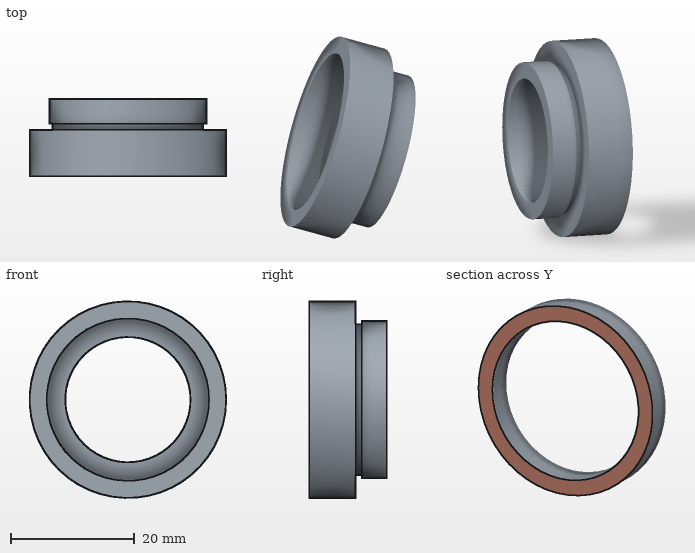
import cadquery as cq

flange_diameter = 31.75
total_length = 12.5

spigot_diameter = 25.4
spigot_length = 4.0
groove_diameter = 24.38
groove_width = 1.02
flange_length = total_length - spigot_length - groove_width

bore_diameter = 20.15
recess_diameter = 26.2
recess_depth = 5.5
relief_diameter = 26.5
relief_width = 1.02


def cylinder(diameter, start, length):
    """Solid cylinder about Y, running toward +Y from a distance behind the front face."""
    front = start - total_length / 2
    return cq.Workplane("XZ").workplane(offset=-front).circle(diameter / 2).extrude(-length)


body = cylinder(flange_diameter, 0, flange_length)
body = body.union(cylinder(groove_diameter, flange_length, groove_width))
body = body.union(cylinder(spigot_diameter, flange_length + groove_width, spigot_length))

body = body.cut(cylinder(bore_diameter, 0, total_length))
body = body.cut(cylinder(recess_diameter, 0, recess_depth))
body = body.cut(cylinder(relief_diameter, recess_depth - relief_width, relief_width))

result = body